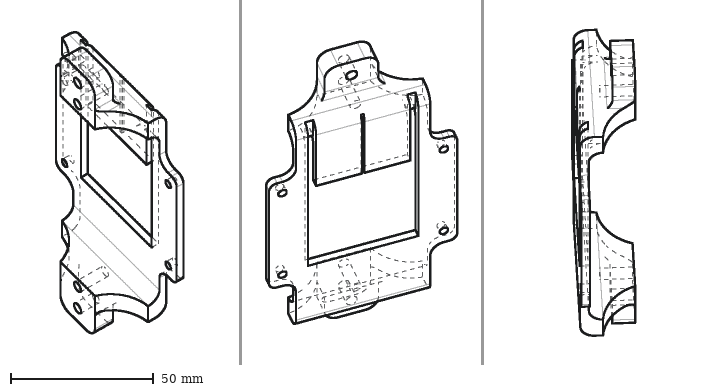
import cadquery as cq
import math


TOTAL_DEPTH = 20.0
TOTAL_LENGTH = 133.0

PLATE_THICKNESS = 3.0
NECK_WIDTH = 50.0
EAR_WIDTH = 70.0
EAR_LENGTH = 55.0
EAR_OUTER_RADIUS = 3.0
EAR_INNER_RADIUS = 5.0
PLATE_HOLE_DIAMETER = 3.1
PLATE_HOLE_SPACING_X = 60.0
PLATE_HOLE_SPACING_Z = 43.0

WINDOW_WIDTH = 41.0
WINDOW_BOTTOM_Z = -20.5
FLAP_WIDTH = 35.0
FLAP_BOTTOM_Z = 20.5
GROOVE_SIZE = 1.0

ARM_OUTER_Z = 52.5
ARM_INNER_Z = 44.0
BEND_RADIUS = 5.0
ARM_SIDE_DEPTH = 8.0
ARM_SIDE_RADIUS = 18.0

TAB_WIDTH = 20.0
TAB_THICKNESS = 8.0
TAB_CORNER_RADIUS = 5.0
TAB_FILLET_RADIUS = 2.0
TAB_HOLE_DIAMETER = 4.1
BLIND_HOLE_DIAMETER = 4.0
BLIND_HOLE_Z = (ARM_OUTER_Z + ARM_INNER_Z) / 2
BLIND_HOLE_DEPTH = 12.0

TAB_END_Z = TOTAL_LENGTH / 2
TAB_HOLE_Z = (ARM_OUTER_Z + TAB_END_Z) / 2
TAB_BACK_DEPTH = TOTAL_DEPTH - TAB_THICKNESS


def block(width, near_depth, far_depth, low_z, high_z):
    """Box centred on X, between two depths in front of the back face."""
    return cq.Workplane("XY").box(
        width, far_depth - near_depth, high_z - low_z, centered=(True, False, False)
    ).translate((0, -far_depth, low_z))


def cylinder(x, z, diameter, near_depth, far_depth):
    """Cylinder along Y, between two depths in front of the back face."""
    return (
        cq.Workplane("XZ", origin=(x, -near_depth, z))
        .circle(diameter / 2)
        .extrude(far_depth - near_depth)
    )


def make_plate():
    """Ears with rounded corners that run into the narrower neck."""
    neck = block(NECK_WIDTH, 0, PLATE_THICKNESS, -ARM_INNER_Z, ARM_INNER_Z)
    ears = block(EAR_WIDTH, 0, PLATE_THICKNESS, -EAR_LENGTH / 2, EAR_LENGTH / 2)
    ears = ears.edges("|Y").fillet(EAR_OUTER_RADIUS)
    margin = EAR_OUTER_RADIUS / 2
    reach_x = NECK_WIDTH / 2 + margin
    reach_z = EAR_LENGTH / 2 + margin
    inner_corners = cq.selectors.BoxSelector(
        (-reach_x, -PLATE_THICKNESS, -reach_z), (reach_x, 0, reach_z)
    )
    plate = neck.union(ears)
    return plate.edges("|Y").edges(inner_corners).fillet(EAR_INNER_RADIUS)


def make_arm_bend():
    """Side profile of the upper arm, rounded where it turns out of the plate."""
    diagonal = BEND_RADIUS * (1 - math.sqrt(0.5))
    return (
        cq.Workplane("YZ")
        .moveTo(0, ARM_INNER_Z - BEND_RADIUS)
        .lineTo(0, ARM_OUTER_Z - BEND_RADIUS)
        .threePointArc((-diagonal, ARM_OUTER_Z - diagonal), (-BEND_RADIUS, ARM_OUTER_Z))
        .lineTo(-TOTAL_DEPTH, ARM_OUTER_Z)
        .lineTo(-TOTAL_DEPTH, ARM_INNER_Z)
        .lineTo(-PLATE_THICKNESS - BEND_RADIUS, ARM_INNER_Z)
        .threePointArc(
            (-PLATE_THICKNESS - diagonal, ARM_INNER_Z - diagonal),
            (-PLATE_THICKNESS, ARM_INNER_Z - BEND_RADIUS),
        )
        .close()
        .extrude(NECK_WIDTH / 2, both=True)
    )


def make_arm_outline():
    """Plan of an arm, narrowing in two hollow arcs to the tab width at the front."""
    return (
        cq.Workplane("XY")
        .moveTo(-NECK_WIDTH / 2, 0)
        .lineTo(-NECK_WIDTH / 2, -ARM_SIDE_DEPTH)
        .radiusArc((-TAB_WIDTH / 2, -TOTAL_DEPTH), ARM_SIDE_RADIUS)
        .lineTo(TAB_WIDTH / 2, -TOTAL_DEPTH)
        .radiusArc((NECK_WIDTH / 2, -ARM_SIDE_DEPTH), ARM_SIDE_RADIUS)
        .lineTo(NECK_WIDTH / 2, 0)
        .close()
        .extrude(TAB_END_Z)
    )


def make_tab():
    """Upper tab with rounded end corners."""
    tab = block(TAB_WIDTH, TAB_BACK_DEPTH, TOTAL_DEPTH, ARM_OUTER_Z, TAB_END_Z)
    return tab.edges("|Y and >Z").fillet(TAB_CORNER_RADIUS)


def make_tab_fillet():
    """Mitred fillet around the back and sides of the tab foot."""
    foot_width = TAB_WIDTH + 2 * TAB_FILLET_RADIUS
    foot_back = TAB_BACK_DEPTH - TAB_FILLET_RADIUS
    foot_top = ARM_OUTER_Z + TAB_FILLET_RADIUS
    foot = block(foot_width, foot_back, TOTAL_DEPTH, ARM_OUTER_Z, foot_top)
    side_round = (
        cq.Workplane("XZ", origin=(foot_width / 2, 0, foot_top))
        .circle(TAB_FILLET_RADIUS)
        .extrude(TOTAL_DEPTH)
    )
    back_round = (
        cq.Workplane("YZ", origin=(0, -foot_back, foot_top))
        .circle(TAB_FILLET_RADIUS)
        .extrude(foot_width, both=True)
    )
    return foot.cut(side_round).cut(side_round.mirror("YZ")).cut(back_round)


def make_upper_end():
    """Arm and tab at the +Z end, with their two holes."""
    end = make_arm_bend().union(make_tab_fillet()).intersect(make_arm_outline())
    end = end.union(make_tab())
    end = end.cut(cylinder(0, TAB_HOLE_Z, TAB_HOLE_DIAMETER, 0, TOTAL_DEPTH))
    blind_start = TOTAL_DEPTH - BLIND_HOLE_DEPTH
    return end.cut(cylinder(0, BLIND_HOLE_Z, BLIND_HOLE_DIAMETER, blind_start, TOTAL_DEPTH))


def make_window_cutter():
    """Window opening, with slots beside the flap that run out through the upper bend."""
    opening = block(WINDOW_WIDTH, 0, TOTAL_DEPTH, WINDOW_BOTTOM_Z, ARM_INNER_Z)
    slots = block(WINDOW_WIDTH, 0, PLATE_THICKNESS, ARM_INNER_Z, ARM_OUTER_Z)
    flap = block(FLAP_WIDTH, 0, TOTAL_DEPTH, FLAP_BOTTOM_Z, ARM_OUTER_Z)
    return opening.union(slots).cut(flap)


def make_flap_groove():
    """Small square groove down the middle of the back of the flap."""
    return block(GROOVE_SIZE, 0, GROOVE_SIZE, FLAP_BOTTOM_Z, ARM_OUTER_Z)


def make_plate_holes():
    """Four through holes near the corners of the ears."""
    holes = cq.Workplane("XZ")
    holes = holes.rect(PLATE_HOLE_SPACING_X, PLATE_HOLE_SPACING_Z, forConstruction=True)
    return holes.vertices().circle(PLATE_HOLE_DIAMETER / 2).extrude(PLATE_THICKNESS)


upper_end = make_upper_end()
bracket = make_plate().union(upper_end).union(upper_end.mirror("XY"))
bracket = bracket.cut(make_plate_holes())
bracket = bracket.cut(make_window_cutter())
result = bracket.cut(make_flap_groove())